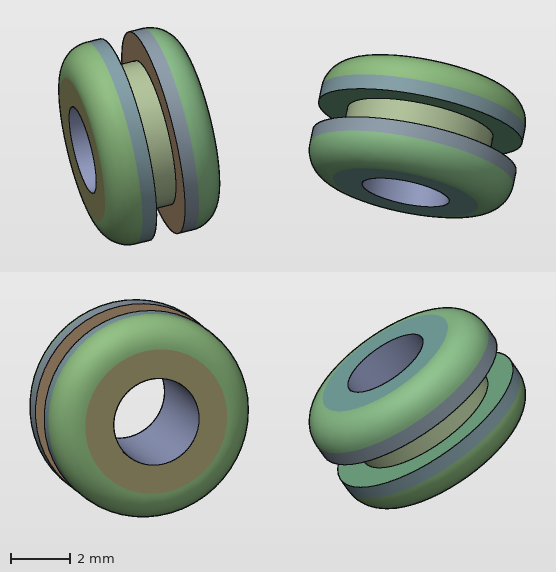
import cadquery as cq

outer_diameter = 7.0
edge_radius = outer_diameter / 7
rim_width = edge_radius / 2
groove_width = edge_radius
groove_depth = edge_radius
bore_diameter = 3 * edge_radius

flange_thickness = edge_radius + rim_width
length = 2 * flange_thickness + groove_width
neck_diameter = outer_diameter - 2 * groove_depth


def cylinder_along_y(diameter, height, start_y):
    """Solid cylinder running from start_y towards +Y."""
    plane = cq.Plane(origin=(0, start_y, 0), xDir=(1, 0, 0), normal=(0, 1, 0))
    return cq.Workplane(plane).circle(diameter / 2).extrude(height)


def rounded_flange(start_y, outer_face):
    """Flange disc with the edge of its outer face rounded."""
    disc = cylinder_along_y(outer_diameter, flange_thickness, start_y)
    return disc.faces(outer_face).edges().fillet(edge_radius)


front_flange = rounded_flange(-length / 2, "<Y")
back_flange = rounded_flange(groove_width / 2, ">Y")
neck = cylinder_along_y(neck_diameter, groove_width, -groove_width / 2)
bore = cylinder_along_y(bore_diameter, length, -length / 2)

result = front_flange.union(neck).union(back_flange).cut(bore)